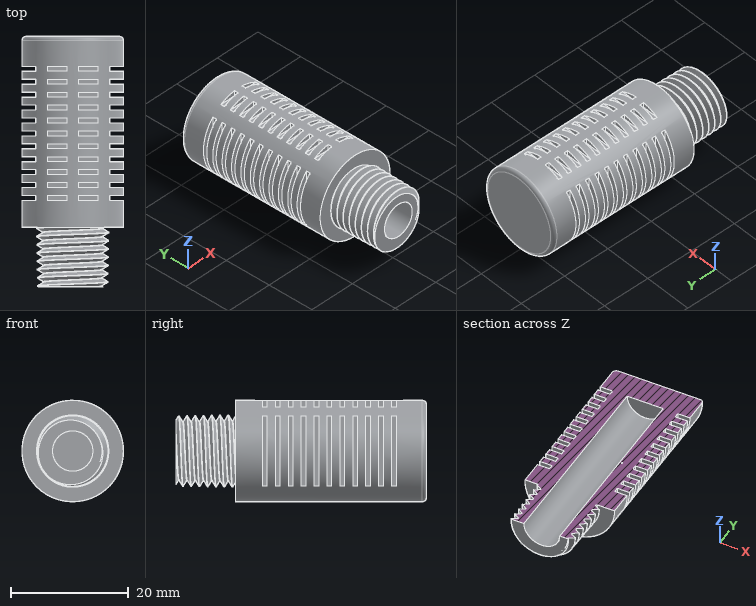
import cadquery as cq
import math


body_diameter = 17.27
overall_length = 42.55
neck_length = 10.1
body_length = overall_length - neck_length
end_round = 0.75

slot_count = 11
slot_width = 0.8
slot_pitch = 2.19
first_slot_start = 4.6
side_floor = 6.3
top_slot_inner = 0.95
top_slot_outer = 4.3
body_radius = body_diameter / 2
top_floor = math.sqrt(body_radius**2 - top_slot_outer**2)

bore_diameter = 6.85
slots_end = first_slot_start + (slot_count - 1) * slot_pitch + slot_width

thread_pitch = 1.4
crest_radius = 6.15
thread_depth = 1.0
crest_flat = 0.1
root_flat = 0.1
taper_angle = 1.0
first_crest = 0.86
root_overlap = 0.3
lead_turns = 2

root_radius = crest_radius - thread_depth
taper = math.tan(math.radians(taper_angle))


def make_body():
    """Plain cylinder with a rounded far end."""
    body = cq.Workplane("XZ").circle(body_radius).extrude(-body_length)
    return body.faces(">Y").edges().fillet(end_round)


def block(x_min, x_max, y_min, y_max, z_min, z_max):
    """Axis-aligned box given by its limits."""
    size = (x_max - x_min, y_max - y_min, z_max - z_min)
    return cq.Workplane("XY").box(*size, centered=False).translate((x_min, y_min, z_min))


def cut_slots(body):
    """Rows of slots on both sides and in two rows on the top."""
    for index in range(slot_count):
        start = first_slot_start + index * slot_pitch
        end = start + slot_width
        side = block(side_floor, body_radius, start, end, -body_radius, body_radius)
        top = block(top_slot_inner, top_slot_outer, start, end, top_floor, body_radius)
        for slot in (side, top):
            body = body.cut(slot).cut(slot.mirror("YZ"))
    return body


def make_neck():
    """Tapered core with a helical ridge, trimmed flat at both ends."""
    tip_radius = root_radius - neck_length * taper
    core = (
        cq.Workplane("XZ")
        .circle(root_radius)
        .workplane(offset=neck_length)
        .circle(tip_radius)
        .loft()
    )

    helix_start = first_crest - lead_turns * thread_pitch
    helix_turns = lead_turns + math.ceil(neck_length / thread_pitch) + 1
    helix_length = helix_turns * thread_pitch
    start_root = root_radius - helix_start * taper
    path = cq.Wire.makeHelix(thread_pitch, helix_length, start_root, angle=-taper_angle)
    crest_half = crest_flat / 2
    root_half = (thread_pitch - root_flat) / 2
    ridge = (
        cq.Workplane("XZ")
        .moveTo(start_root - root_overlap, -root_half)
        .lineTo(start_root, -root_half)
        .lineTo(start_root + thread_depth, -crest_half)
        .lineTo(start_root + thread_depth, crest_half)
        .lineTo(start_root, root_half)
        .lineTo(start_root - root_overlap, root_half)
        .close()
        .sweep(cq.Workplane(path), isFrenet=True)
        .translate((0, 0, helix_start))
        .rotate((0, 0, 0), (1, 0, 0), 90)
    )
    trim = cq.Workplane("XZ").circle(body_radius).extrude(neck_length)
    return core.union(ridge.intersect(trim))


def cut_bore(part):
    """Blind bore from the neck end."""
    bore_depth = neck_length + slots_end
    bore = (
        cq.Workplane("XZ", origin=(0, -neck_length, 0))
        .circle(bore_diameter / 2)
        .extrude(-bore_depth)
    )
    return part.cut(bore)


slotted_body = cut_slots(make_body())
result = cut_bore(slotted_body.union(make_neck()))